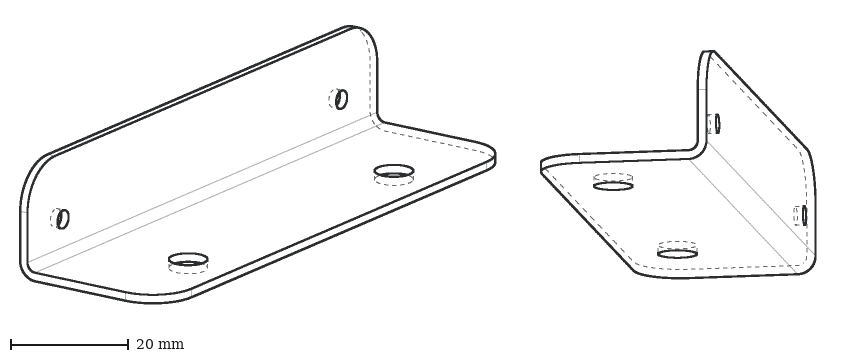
import cadquery as cq

base_width = 30.0
length = 103.0
wall_height = 20.0

thickness = 1.5
inner_bend_radius = 1.5
outer_bend_radius = inner_bend_radius + thickness
corner_radius = 8.0

base_hole_diameter = 6.6
base_hole_x = 20.0
base_hole_spacing = 60.6
wall_hole_diameter = 3.2
wall_hole_z = 8.0
wall_hole_spacing = 82.0


def hole_pair(plane, spacing, diameter, depth):
    """Two cylinders spaced evenly about the plane origin along Y."""
    half = spacing / 2
    return (
        cq.Workplane(plane)
        .pushPoints([(-half, 0), (half, 0)])
        .circle(diameter / 2)
        .extrude(depth)
    )


bracket = (
    cq.Workplane("XZ")
    .polyline([
        (0, 0),
        (base_width, 0),
        (base_width, thickness),
        (thickness, thickness),
        (thickness, wall_height),
        (0, wall_height),
    ])
    .close()
    .extrude(length / 2, both=True)
)
inner_edge = cq.selectors.NearestToPointSelector((thickness, 0, thickness))
outer_edge = cq.selectors.NearestToPointSelector((0, 0, 0))
bracket = bracket.edges(inner_edge).fillet(inner_bend_radius)
bracket = bracket.edges(outer_edge).fillet(outer_bend_radius)

bracket = bracket.faces(">X").edges("|Z").fillet(corner_radius)
bracket = bracket.faces(">Z").edges("|X").fillet(corner_radius)

base_plane = cq.Plane(origin=(base_hole_x, 0, 0), xDir=(0, 1, 0), normal=(0, 0, 1))
wall_plane = cq.Plane(origin=(0, 0, wall_hole_z), xDir=(0, 1, 0), normal=(1, 0, 0))
bracket = bracket.cut(hole_pair(base_plane, base_hole_spacing, base_hole_diameter, thickness))
bracket = bracket.cut(hole_pair(wall_plane, wall_hole_spacing, wall_hole_diameter, thickness))

result = bracket